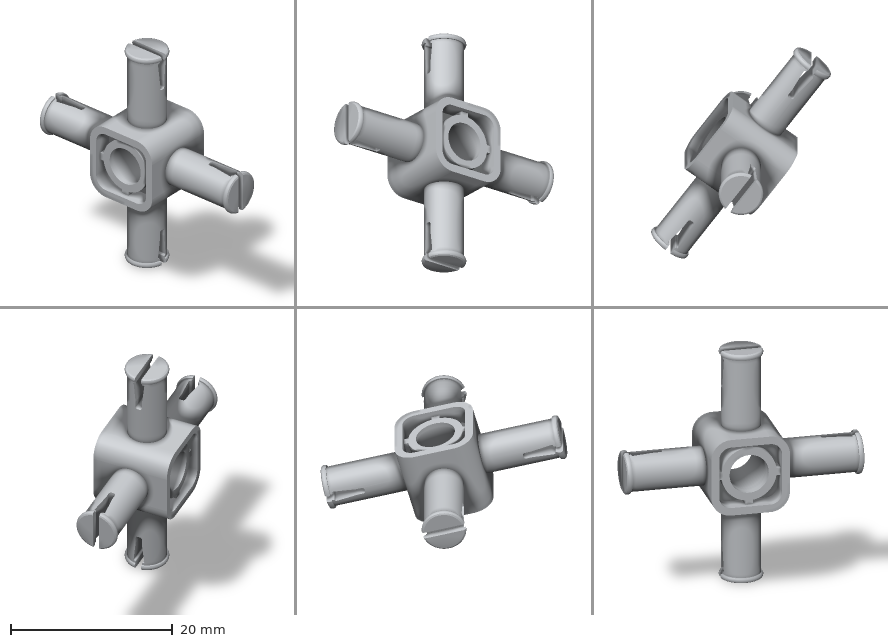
import cadquery as cq
span = 30.25
hub_size = 10.0
hub_corner_radius = 2.5
wall = 1.0
bore_diameter = 5.0
ring_diameter = 7.02
ring_recess = 0.8
tab_width = 1.0
pocket_depth = 2.48

pin_diameter = 4.95
bead_diameter = 5.55
bead_edge_diameter = 5.35
bead_start = 0.105
bead_end = 0.7

slot_width = 0.85
slot_depth = 5.0
slot_wide_width = 1.48
slot_wide_start = 1.03
slot_taper_end = 3.93
slot_floor_rounding = 0.27
slot_shoulder_rounding = 0.135

tip = span / 2
half_hub = hub_size / 2
cavity_size = hub_size - 2 * wall
cavity_corner_radius = hub_corner_radius - wall
pin_radius = pin_diameter / 2
pin_root = cavity_size / 2


def rounded_block(size, length, corner_radius):
    """Square block along Y, starting at Y = 0, with its four long edges rounded."""
    block = cq.Workplane("XZ").rect(size, size).extrude(-length)
    return block.edges("|Y").fillet(corner_radius)


def make_pocket():
    """Space to remove from the -Y face: a shallow recess, then a deeper moat around the ring."""
    recess = rounded_block(cavity_size, ring_recess, cavity_corner_radius)
    moat = rounded_block(cavity_size, pocket_depth, cavity_corner_radius)
    ring = cq.Workplane("XZ").circle(ring_diameter / 2).extrude(-pocket_depth)
    tabs = (
        cq.Workplane("XZ")
        .rect(cavity_size, tab_width)
        .extrude(-pocket_depth)
        .union(cq.Workplane("XZ").rect(tab_width, cavity_size).extrude(-pocket_depth))
    )
    pocket = recess.union(moat.cut(ring).cut(tabs))
    return pocket.translate((0, -half_hub, 0))


def make_pin():
    """Pin pointing up along Z, its beaded end split by a slot along X."""
    bead_middle = (bead_start + bead_end) / 2
    body = (
        cq.Workplane("XZ")
        .moveTo(0, pin_root)
        .lineTo(pin_radius, pin_root)
        .lineTo(pin_radius, tip - bead_end)
        .lineTo(bead_edge_diameter / 2, tip - bead_end)
        .threePointArc(
            (bead_diameter / 2, tip - bead_middle),
            (bead_edge_diameter / 2, tip - bead_start),
        )
        .lineTo(pin_radius, tip)
        .lineTo(0, tip)
        .close()
        .revolve(360, (0, 0, 0), (0, 1, 0))
    )
    return body.cut(make_slot())


def make_slot():
    """Keyhole-like slot: narrow mouth, wide shoulder, then a taper to a narrow rounded floor."""
    narrow = slot_width / 2
    wide = slot_wide_width / 2
    one_side = [
        (narrow, tip),
        (narrow, tip - slot_wide_start),
        (wide, tip - slot_wide_start),
        (narrow, tip - slot_taper_end),
        (narrow, tip - slot_depth),
    ]
    other_side = [(-y, z) for y, z in reversed(one_side)]
    slot = cq.Workplane("YZ").polyline(one_side + other_side).close().extrude(bead_diameter, both=True)
    slot = slot.edges("|X").edges("<Z").fillet(slot_floor_rounding)
    shoulder_height = tip - slot_wide_start
    shoulder = cq.selectors.BoxSelector(
        (-bead_diameter, -slot_wide_width, shoulder_height - slot_shoulder_rounding),
        (bead_diameter, slot_wide_width, shoulder_height + slot_shoulder_rounding),
    )
    return slot.edges("|X").edges(shoulder).fillet(slot_shoulder_rounding)


pocket = make_pocket()
hub = (
    rounded_block(hub_size, hub_size, hub_corner_radius)
    .translate((0, -half_hub, 0))
    .cut(pocket)
    .cut(pocket.mirror("XZ"))
    .cut(cq.Workplane("XZ").circle(bore_diameter / 2).extrude(half_hub, both=True))
)

pin = make_pin()
result = hub
for angle in (0, 90, 180, 270):
    result = result.union(pin.rotate((0, 0, 0), (0, 1, 0), angle))